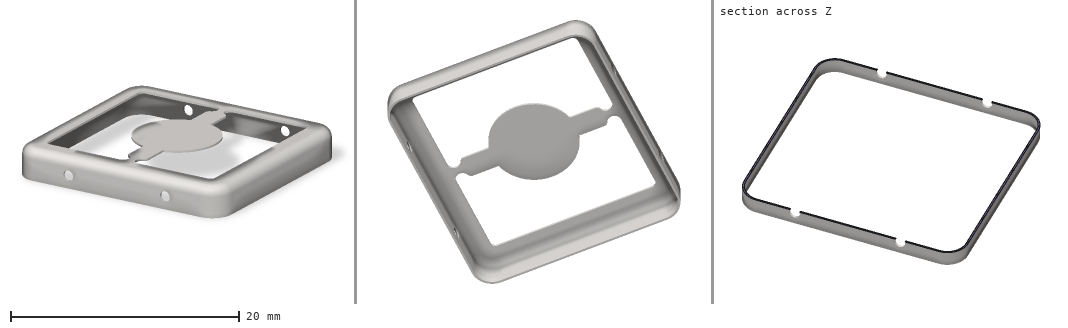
import cadquery as cq
import math

length = 21.3
width = 19.9
height = 2.9
corner_radius = 1.95
top_edge_radius = 0.9
wall = 0.2

frame_width = 2.0
window_corner_radius = 0.5

disk_diameter = 8.0
strap_width = 2.05
neck_width = 0.7
neck_notch_radius = 0.64
strap_shoulder_radius = 0.4

hole_diameter = 1.0
hole_spacing = 10.01
hole_height = 1.2

window_length = length - 2 * frame_width
window_width = width - 2 * frame_width


def rounded_block(size_x, size_y, size_z, side_radius, top_radius):
    """Block standing on Z = 0 with rounded vertical and top edges."""
    block = cq.Workplane("XY").box(size_x, size_y, size_z, centered=(True, True, False))
    return block.edges("|Z").fillet(side_radius).faces(">Z").edges().fillet(top_radius)


def make_shell():
    """Outer block hollowed from below to a constant wall thickness."""
    outer = rounded_block(length, width, height, corner_radius, top_edge_radius)
    cavity = rounded_block(
        length - 2 * wall,
        width - 2 * wall,
        height - wall,
        corner_radius - wall,
        top_edge_radius - wall,
    )
    return outer.cut(cavity)


def make_window():
    """Cutter for the rectangular window in the top face."""
    window = cq.Workplane("XY").workplane(offset=height - 2 * wall)
    window = window.rect(window_length, window_width).extrude(3 * wall)
    return window.edges("|Z").fillet(window_corner_radius)


def make_strap():
    """Strap from the disk center to the +Y frame, necked by two round notches."""
    half_strap = strap_width / 2
    half_neck = neck_width / 2
    frame_y = window_width / 2

    notch_x = half_neck + neck_notch_radius
    notch_y = frame_y - neck_notch_radius

    shoulder_x = half_strap - strap_shoulder_radius
    center_distance = neck_notch_radius + strap_shoulder_radius
    offset_x = notch_x - shoulder_x
    shoulder_y = notch_y - math.sqrt(center_distance**2 - offset_x**2)

    share = strap_shoulder_radius / center_distance
    meet_x = shoulder_x + share * offset_x
    meet_y = shoulder_y + share * (notch_y - shoulder_y)

    right_half = (
        cq.Workplane("XY")
        .workplane(offset=height - wall)
        .moveTo(0, 0)
        .lineTo(half_strap, 0)
        .lineTo(half_strap, shoulder_y)
        .radiusArc((meet_x, meet_y), -strap_shoulder_radius)
        .radiusArc((half_neck, notch_y), neck_notch_radius)
        .radiusArc((notch_x, frame_y), neck_notch_radius)
        .lineTo(notch_x, frame_y + wall)
        .lineTo(0, frame_y + wall)
        .close()
        .extrude(wall)
    )
    return right_half.union(right_half.mirror("YZ"))


def make_disk():
    """Round plate in the middle of the window, flush with the top face."""
    return cq.Workplane("XY").workplane(offset=height - wall).circle(disk_diameter / 2).extrude(wall)


def make_pin_holes():
    """Cutters along Y that pass through both long walls."""
    return (
        cq.Workplane("XZ")
        .pushPoints([(side * hole_spacing / 2, hole_height) for side in (-1, 1)])
        .circle(hole_diameter / 2)
        .extrude(width, both=True)
    )


strap = make_strap()
result = make_shell().cut(make_window()).cut(make_pin_holes())
result = result.union(make_disk()).union(strap).union(strap.mirror("XZ"))